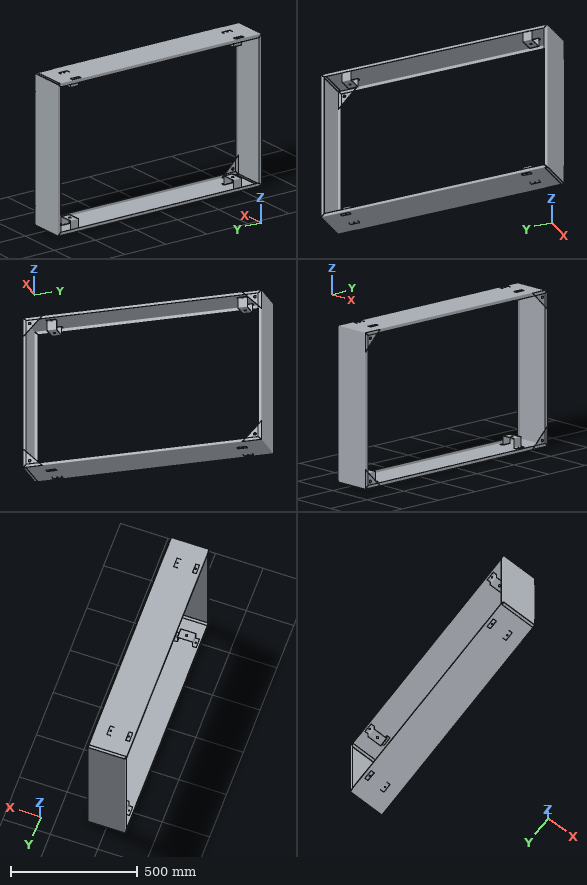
import cadquery as cq
import math

DEPTH = 160.0
LENGTH = 995.0
HEIGHT = 645.0

SHEET = 1.0
BEND_OUTER = 2.1
BEND_INNER = BEND_OUTER - SHEET

FLANGE = 15.0
MITRE_GAP = 0.5
TAB = 13.0

GUSSET_LEG = 84.0
GUSSET_HOLE = 10.0
GUSSET_HOLE_INSET = 29.0

BRACKET_HEIGHT = 40.0
BRACKET_WIDTH = 40.0
BRACKET_SPAN = 65.0
FOOT = 15.0
BRACKET_MARGIN = 12.0
BRACKET_Y = 397.0
CROWN_HOLE = 9.0
FOOT_HOLE = 5.0
FOOT_HOLE_OFFSET = 6.0

OUTER_Y = LENGTH / 2
OUTER_Z = HEIGHT / 2
INNER_X = DEPTH / 2 - SHEET
INNER_Y = OUTER_Y - SHEET
INNER_Z = OUTER_Z - SHEET


def half_turn(body):
    """Copy of a body turned half a revolution about the X axis."""
    return body.rotate((0, 0, 0), (1, 0, 0), 180)



def rounded_block(depth, length, height, radius):
    """Block with the flange bends and the two folded corners rounded; the seam corners stay sharp."""
    block = cq.Workplane("XY").box(depth, length, height)
    lower_fold = cq.selectors.BoxSelector((-depth, 0, -height), (depth, length, 0))
    upper_fold = cq.selectors.BoxSelector((-depth, -length, 0), (depth, 0, height))
    folds = block.edges("|X").edges(lower_fold + upper_fold)
    flange_bends = block.faces("<X or >X").edges()
    return folds.add(flange_bends).fillet(radius)


def folded_ring():
    """Rectangular ring of sheet with flanges turned inward along both open sides."""
    outside = rounded_block(DEPTH, LENGTH, HEIGHT, BEND_OUTER)
    cavity = rounded_block(2 * INNER_X, 2 * INNER_Y, 2 * INNER_Z, BEND_INNER)
    opening = cq.Workplane("XY").box(DEPTH, LENGTH - 2 * FLANGE, HEIGHT - 2 * FLANGE)
    return outside.cut(cavity).cut(opening)


def mitre_slits():
    """Thin diagonal cuts that part the flanges at the four corners, ending at the bends."""
    slits = cq.Workplane("XY")
    for y_side in (-1, 1):
        for z_side in (-1, 1):
            slit = (
                cq.Workplane("XY")
                .box(DEPTH, 2 * FLANGE * math.sqrt(2), MITRE_GAP)
                .rotate((0, 0, 0), (1, 0, 0), 45 * y_side * z_side)
                .translate((0, y_side * (OUTER_Y - FLANGE), z_side * (OUTER_Z - FLANGE)))
            )
            slits = slits.add(slit)
    within_bends = cq.Workplane("XY").box(DEPTH, LENGTH - 2 * BEND_OUTER, HEIGHT - 2 * BEND_OUTER)
    return slits.combine().intersect(within_bends)


def upper_region():
    """Block around the top wall and the -Y wall, bounded by the seams and their mitres."""
    outline = [
        (OUTER_Y, OUTER_Z),
        (OUTER_Y, INNER_Z),
        (INNER_Y, INNER_Z),
        (OUTER_Y - FLANGE, OUTER_Z - FLANGE),
        (-OUTER_Y + FLANGE, -OUTER_Z + FLANGE),
        (-INNER_Y, -INNER_Z),
        (-OUTER_Y, -INNER_Z),
        (-OUTER_Y, OUTER_Z),
    ]
    return cq.Workplane("YZ").polyline(outline).close().extrude(DEPTH / 2, both=True)


def joining_tab():
    """Tab at the foot of the -Y wall, lying on the inside of the bottom wall."""
    return (
        cq.Workplane("XY", origin=(0, -OUTER_Y, -INNER_Z))
        .box(DEPTH - 2 * (SHEET + BEND_OUTER), TAB, SHEET, centered=(True, False, False))
    )


def frame_half():
    return folded_ring().cut(mitre_slits()).intersect(upper_region()).union(joining_tab())



def gusset(y_side, z_side):
    corner_y = y_side * (OUTER_Y - BEND_OUTER)
    corner_z = z_side * (OUTER_Z - BEND_OUTER)
    leg = GUSSET_LEG - 2 * BEND_OUTER
    hole_centre = (y_side * (OUTER_Y - GUSSET_HOLE_INSET), z_side * (OUTER_Z - GUSSET_HOLE_INSET))
    outline = [
        (corner_y, corner_z),
        (corner_y - y_side * leg, corner_z),
        (corner_y, corner_z - z_side * leg),
    ]
    plane = cq.Workplane("YZ", origin=(INNER_X - SHEET, 0, 0))
    plate = plane.polyline(outline).close().extrude(SHEET)
    hole = plane.center(*hole_centre).circle(GUSSET_HOLE / 2).extrude(SHEET)
    return plate.cut(hole)



def bracket_profile(width):
    """Hat of folded sheet with sharp bends: two feet, two legs and a crown."""
    leg_out = BRACKET_SPAN / 2
    leg_in = leg_out - SHEET
    toe = leg_out + FOOT
    crown_under = BRACKET_HEIGHT - SHEET
    right_side = [
        (leg_in, crown_under),
        (leg_in, 0),
        (toe, 0),
        (toe, SHEET),
        (leg_out, SHEET),
        (leg_out, BRACKET_HEIGHT),
    ]
    left_side = [(-x, z) for x, z in reversed(right_side)]
    return cq.Workplane("XZ").polyline(right_side + left_side).close().extrude(width / 2, both=True)


def round_pairs(hat, corners, radius):
    """Round the bend at each given (x, z) corner and at its mirror image in -x."""
    for x, z in corners:
        for corner_x in (-x, x):
            hat = hat.edges(cq.selectors.NearestToPointSelector((corner_x, 0, z))).fillet(radius)
    return hat


def bracket(y):
    """Bracket standing on the bottom wall, centred on the given y."""
    leg_out = BRACKET_SPAN / 2
    leg_in = leg_out - SHEET
    hat = bracket_profile(BRACKET_WIDTH)
    hat = round_pairs(hat, [(leg_in, 0), (leg_out, BRACKET_HEIGHT)], BEND_OUTER)
    hat = round_pairs(hat, [(leg_out, SHEET), (leg_in, BRACKET_HEIGHT - SHEET)], BEND_INNER)

    foot_hole_x = leg_out + FOOT_HOLE_OFFSET
    base = cq.Workplane("XY")
    crown_hole = base.circle(CROWN_HOLE / 2).extrude(BRACKET_HEIGHT)
    foot_holes = base.pushPoints([(-foot_hole_x, 0), (foot_hole_x, 0)]).circle(FOOT_HOLE / 2).extrude(SHEET)
    hat = hat.cut(crown_hole).cut(foot_holes)

    centre_x = -DEPTH / 2 + BRACKET_MARGIN + FOOT + leg_out
    return hat.translate((centre_x, y, -INNER_Z))



upper_half = frame_half()
lower_half = half_turn(upper_half)
gussets = [gusset(y_side, z_side) for y_side in (-1, 1) for z_side in (-1, 1)]
bottom_brackets = [bracket(y) for y in (-BRACKET_Y, BRACKET_Y)]
top_brackets = [half_turn(hat) for hat in bottom_brackets]

bodies = [upper_half, lower_half, *gussets, *bottom_brackets, *top_brackets]
result = cq.Compound.makeCompound([body.solids().val() for body in bodies])